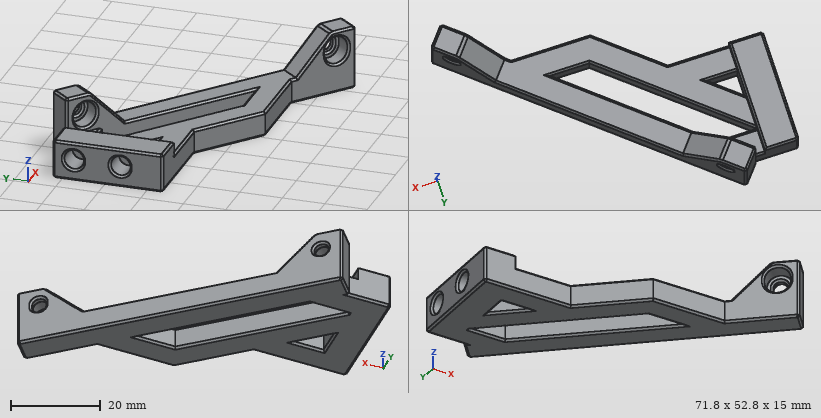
import cadquery as cq
import math

overall_length = 71.75
overall_height = 15.0
chamfer = 0.5

block_width = 8.0
block_length = 26.0
block_height = 9.2
plate_height = 5.9
beam_width = 6.0
frame_drop = 12.0

arm_angle = 40.0
arm_length = 76.0
arm_width = 6.0
arm_centre_y = 3.9
ear_length = 15.5

insert_diameter = 4.6
insert_depth = 6.0
insert_height = 5.0
insert_positions = (10.05, 21.0)

screw_diameter = 3.4
screw_head_diameter = 6.0
screw_head_depth = 4.0
screw_height = 10.0
screw_end_distance = 5.0
slot_travel = 0.5

arm_sin = math.sin(math.radians(arm_angle))
arm_cos = math.cos(math.radians(arm_angle))
arm_slope = arm_sin / arm_cos

arm_reach = (arm_length * arm_cos + arm_width * arm_sin) / 2 - chamfer * arm_sin
arm_centre_x = overall_length - arm_reach


def arm_point(along, across):
    """Plan position of a point given along and across the arm from its centre."""
    x = arm_centre_x + along * arm_cos + across * arm_sin
    y = arm_centre_y - along * arm_sin + across * arm_cos
    return (x, y)


def arm_x_at(y, across):
    """X at a given Y on the line parallel to the arm, set across from its centre line."""
    return arm_centre_x + (arm_centre_y - y) / arm_slope + across / arm_sin


def prism(points, height):
    return cq.Workplane("XY").polyline(points).close().extrude(height)


def make_arm():
    """Arm with its two ears, extruded from a side profile and turned to its angle."""
    end = arm_length / 2
    foot = end - ear_length
    crest = foot + overall_height - plate_height
    profile = [
        (-end, 0),
        (end, 0),
        (end, overall_height),
        (crest, overall_height),
        (foot, plate_height),
        (-foot, plate_height),
        (-crest, overall_height),
        (-end, overall_height),
    ]
    arm = cq.Workplane("XZ").polyline(profile).close().extrude(arm_width / 2, both=True)
    arm = arm.edges("|Z").chamfer(chamfer)

    foot_box = cq.selectors.BoxSelector(
        (-foot - chamfer, -chamfer, plate_height - chamfer),
        (foot + chamfer, chamfer, plate_height + chamfer),
    )
    sharp_edges = arm.edges("not |Z").edges(cq.selectors.InverseSelector(foot_box))
    arm = sharp_edges.chamfer(chamfer)
    return arm.rotate((0, 0, 0), (0, 0, 1), -arm_angle).translate((arm_centre_x, arm_centre_y, 0))


def make_frame():
    """Struts and diagonal beam joining block and arm, with ends buried in both."""
    inside_block = block_width / 2
    inside_arm = arm_width / 4
    strut_bottom = block_length - beam_width
    diagonal_bottom = strut_bottom - beam_width / arm_cos
    slot_bottom = beam_width - frame_drop

    def diagonal_x(y, start_y):
        """X at a given Y on a diagonal edge that leaves the block face at start_y."""
        return block_width + (start_y - y) / arm_slope

    outline = [
        (inside_block, 0),
        (diagonal_x(0, diagonal_bottom), 0),
        (diagonal_x(-frame_drop, diagonal_bottom), -frame_drop),
        (arm_x_at(-frame_drop, inside_arm), -frame_drop),
        (arm_x_at(block_length, inside_arm), block_length),
        (inside_block, block_length),
    ]
    slot = [
        (block_width, strut_bottom),
        (diagonal_x(slot_bottom, strut_bottom), slot_bottom),
        (arm_x_at(slot_bottom, -inside_arm), slot_bottom),
        (arm_x_at(strut_bottom, -inside_arm), strut_bottom),
    ]
    triangle = [
        (inside_block, diagonal_bottom + (block_width - inside_block) * arm_slope),
        (inside_block, beam_width),
        (diagonal_x(beam_width, diagonal_bottom), beam_width),
    ]
    frame = prism(outline, plate_height)
    for opening in (slot, triangle):
        frame = frame.cut(prism(opening, plate_height))
    return frame.faces("<Z or >Z").edges().chamfer(chamfer)


def make_block():
    block = cq.Workplane("XY").box(block_width, block_length, block_height, centered=False)
    block = block.edges("|Z and <X").chamfer(chamfer)
    return block.faces("<Z or >Z").edges().chamfer(chamfer)


def round_cutter(profile, mouth):
    """Turned cutter from a half profile of (radius, depth) points.

    The local Y axis of the mouth plane points out of the hole and its X axis across it.
    """
    points = [(radius, -depth) for radius, depth in profile]
    return cq.Workplane(mouth).polyline(points).close().revolve(360, (0, 0), (0, 1))


def insert_cutter(y):
    radius = insert_diameter / 2
    profile = [
        (0, 0),
        (radius + chamfer, 0),
        (radius, chamfer),
        (radius, insert_depth),
        (0, insert_depth),
    ]
    mouth = cq.Plane((0, y, insert_height), xDir=(0, 1, 0), normal=(0, 0, 1))
    return round_cutter(profile, mouth)


def screw_cutter(along, travel):
    """Counterbored screw hole, entered from the inner face of the arm.

    A travel above zero stretches the hole upward into a slot.
    """
    head = screw_head_diameter / 2
    shank = screw_diameter / 2
    profile = [
        (head + chamfer, 0),
        (head, chamfer),
        (head, screw_head_depth),
        (shank + chamfer, screw_head_depth),
        (shank, screw_head_depth + chamfer),
        (shank, arm_width - chamfer),
        (shank + chamfer, arm_width),
    ]
    half_profile = [(0, 0), *profile, (0, arm_width)]
    x, y = arm_point(along, -arm_width / 2)
    mouth = cq.Plane((x, y, screw_height), xDir=(-arm_cos, arm_sin, 0), normal=(0, 0, 1))
    cutter = round_cutter(half_profile, mouth)
    if travel > 0:
        outline = [(radius, -depth) for radius, depth in profile]
        outline += [(-radius, -depth) for radius, depth in reversed(profile)]
        middle = cq.Workplane(mouth).polyline(outline).close().extrude(travel)
        cutter = cutter.union(middle).union(cutter.translate((0, 0, travel)))
    return cutter


body = make_frame().union(make_block()).union(make_arm())

for y in insert_positions:
    body = body.cut(insert_cutter(y))

screw_along = arm_length / 2 - screw_end_distance
body = body.cut(screw_cutter(-screw_along, 0))
body = body.cut(screw_cutter(screw_along, slot_travel))

result = body